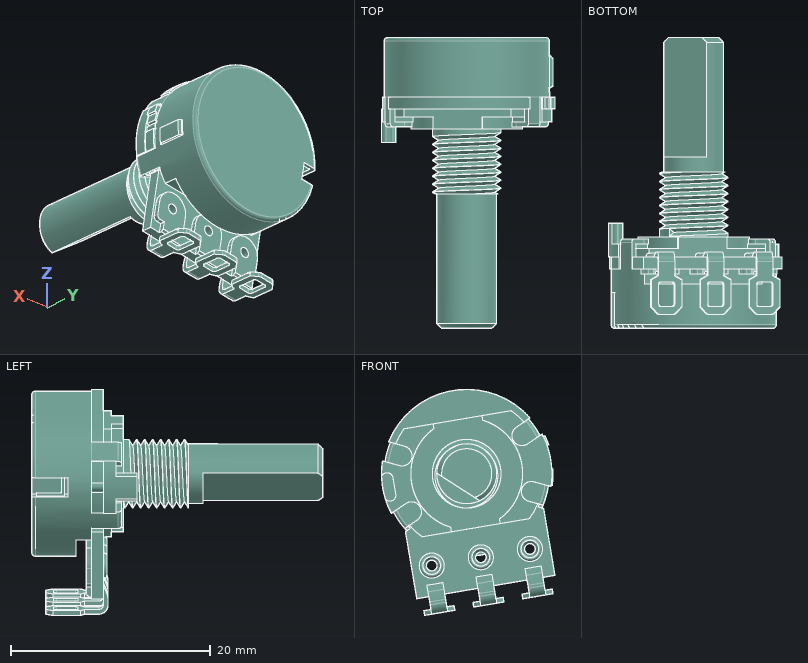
import cadquery as cq
import math


TOTAL_LENGTH = 29.2
TILT = 9.6

CAN_RADIUS = 8.3
CAN_WALL = 0.5
CAN_EDGE_FILLET = 0.38
CAN_WINDOW_FLOOR = 4.47
CAN_WINDOW_Y = -5.75

NOTCH_WIDTH = 1.95
NOTCH_HEIGHT = 3.62
NOTCH_DEPTH = 1.75
HOLLOW_TOP = 3.3
HOLLOW_DEPTH = 2.45
CORE_TOP = 2.98
CORE_SIDE_Y = -0.85

BUMP_RADIUS = 8.67
BUMP_ANGLES = (-17.5, -6.5)
BUMP_BOTTOM = 1.9
BUMP_TOP = 5.05
BUMP_CHAMFER = 0.23

BOARD_BOTTOM = 6.0
BOARD_TOP = 7.18
BOARD_RADIUS = 8.47
BOARD_HALF_WIDTH = 7.05
BOARD_END_Y = -11.53
BOARD_TAB_GAP = 0.3
BOARD_STEP_RADIUS = 8.73
BOARD_STEP_ANGLES = (9.8, 16.3)

PEG_X = 7.85
PEG_RADIUS = 0.5

PLATE_RADIUS = 7.75
PLATE_HALF_HEIGHT = 5.5
PLATE_TOP = 8.0
EAR_RADIUS = 8.55
EAR_TOP = 8.47
BOSS_RADIUS = 5.6
BOSS_BRIDGE_HALF_WIDTH = 2.48
BOSS_TOP = 9.2

PIN_INNER_X = 7.35
PIN_LENGTH = 2.85
PIN_TOP = 10.57
PIN_FILLET = 0.58

TAB_ANGLE = 25.0
TAB_WIDTH = 2.01
TAB_TIP_RADIUS = 5.72
TAB_TOP = 9.0
TAB_BEND_FILLET = 0.35

BUSHING_RADIUS = 3.45
BUSHING_TOP = 15.7
THREAD_ROOT_RADIUS = 2.83
THREAD_CREST_LAND = 0.03
THREAD_START = 9.65
THREAD_START_ANGLE = -144.6
THREAD_TURNS = 7.6
THREAD_PITCH = (BUSHING_TOP - THREAD_START) / THREAD_TURNS

SHAFT_RADIUS = 3.0
SHAFT_CHAMFER = 0.5
FLAT_BOTTOM = 17.2
FLAT_DISTANCE = 1.58
FLAT_ANGLE = 227.7

TERMINAL_PITCH = 5.0
TERMINAL_THICKNESS = 0.5
TERMINAL_WIDTH = 1.64
EYELET_Y = -8.5
EYELET_RADIUS = 1.25
EYELET_HEIGHT = 0.38
EYELET_FILLET = 0.3
EYELET_BORE_RADIUS = 0.53
EYELET_FUNNEL_RADIUS = 0.88
EYELET_FUNNEL_DEPTH = 0.73
LUG_RADIUS = 1.78
LUG_BOTTOM = 5.45
LUG_SHOULDER_Y = -10.45
LUG_FILLET = 0.4

HOOK_START_Y = -10.37
HOOK_RAMP_END_Y = -11.05
HOOK_RAMP_HEIGHT = 0.3
HOOK_FULL_Y = -12.05
HOOK_BOTTOM_Y = -13.32
HOOK_BEND_RADIUS = 0.95
LEG_ROOT = 5.3
LEG_SHOULDER = 4.9
LEG_TIP = 1.4
LEG_WIDTH = 3.1
LEG_TIP_SHOULDER = 2.15
LEG_TIP_WIDTH = 1.7
LEG_TIP_FILLET = 0.45
LEG_WINDOW_BOTTOM = 2.2
LEG_WINDOW_TOP = 4.67
LEG_WINDOW_FILLET = 0.3


def cylinder(radius, bottom, top):
    return cq.Workplane("XY", origin=(0, 0, bottom)).circle(radius).extrude(top - bottom)


def block(x_range, y_range, z_range):
    (x0, x1), (y0, y1), (z0, z1) = x_range, y_range, z_range
    return cq.Workplane("XY").box(x1 - x0, y1 - y0, z1 - z0, centered=False).translate((x0, y0, z0))


def sector(start_angle, end_angle):
    """Tall wedge from the shaft axis outward between two angles, in degrees."""
    reach = 3 * CAN_RADIUS
    corners = [
        (reach * math.cos(math.radians(angle)), reach * math.sin(math.radians(angle)))
        for angle in (start_angle, end_angle)
    ]
    return cq.Workplane("XY").polyline([(0, 0)] + corners).close().extrude(TOTAL_LENGTH)


def four_tabs(shape):
    """Copies of a shape lying along +X, at the four tab directions."""
    angles = (TAB_ANGLE, 180 - TAB_ANGLE, 180 + TAB_ANGLE, -TAB_ANGLE)
    return [shape.rotate((0, 0, 0), (0, 0, 1), angle) for angle in angles]


def make_can():
    can = cylinder(CAN_RADIUS, 0, BOARD_BOTTOM).faces("<Z").edges().fillet(CAN_EDGE_FILLET)
    reach = 2 * CAN_RADIUS
    can = can.cut(block((-reach, reach), (-reach, CAN_WINDOW_Y), (CAN_WINDOW_FLOOR, BOARD_BOTTOM)))

    notch_floor_x = NOTCH_DEPTH - CAN_RADIUS
    hollow_floor_x = HOLLOW_DEPTH - CAN_RADIUS
    hollow = cylinder(CAN_RADIUS - CAN_WALL, CAN_WALL, HOLLOW_TOP)
    hollow = hollow.intersect(block((-reach, hollow_floor_x), (-reach, reach), (0, HOLLOW_TOP)))
    hollow = hollow.cut(block((notch_floor_x, 0), (CORE_SIDE_Y, reach), (0, CORE_TOP)))
    notch = block((-reach, notch_floor_x), (-NOTCH_WIDTH / 2, NOTCH_WIDTH / 2), (0, NOTCH_HEIGHT))
    can = can.cut(hollow).cut(notch)

    bump = cylinder(BUMP_RADIUS, BUMP_BOTTOM, BUMP_TOP).edges().chamfer(BUMP_CHAMFER)
    return can.union(bump.intersect(sector(*BUMP_ANGLES)))


def make_board():
    board = cylinder(BOARD_RADIUS, BOARD_BOTTOM, BOARD_TOP)
    lower_part_y = -math.sqrt(BOARD_RADIUS**2 - BOARD_HALF_WIDTH**2)
    lower_part = block(
        (-BOARD_HALF_WIDTH, BOARD_HALF_WIDTH), (BOARD_END_Y, lower_part_y), (BOARD_BOTTOM, BOARD_TOP)
    )
    step = cylinder(BOARD_STEP_RADIUS, BOARD_BOTTOM, BOARD_TOP).intersect(sector(*BOARD_STEP_ANGLES))
    board = board.union(lower_part).union(step)
    gap = block(
        (CAN_RADIUS - CAN_WALL, 2 * CAN_RADIUS),
        (-TAB_WIDTH / 2 - BOARD_TAB_GAP, 0),
        (BOARD_BOTTOM, BOARD_TOP),
    ).rotate((0, 0, 0), (0, 0, 1), -TAB_ANGLE)
    board = board.cut(gap).cut(gap.mirror("YZ"))
    for direction in (0, 180):
        notch = block((PEG_X, 2 * PEG_X), (-PEG_RADIUS, PEG_RADIUS), (BOARD_BOTTOM, BOARD_TOP))
        peg = cylinder(PEG_RADIUS, BOARD_BOTTOM, BOARD_TOP).translate((PEG_X, 0, 0))
        board = board.cut(notch.cut(peg).rotate((0, 0, 0), (0, 0, 1), direction))
    return board


def make_plate():
    reach = 2 * EAR_RADIUS
    height_band = block((-reach, reach), (-PLATE_HALF_HEIGHT, PLATE_HALF_HEIGHT), (0, BOSS_TOP))
    plate = cylinder(PLATE_RADIUS, BOARD_TOP, PLATE_TOP)
    bridge = block(
        (-BOSS_BRIDGE_HALF_WIDTH, BOSS_BRIDGE_HALF_WIDTH),
        (-PLATE_HALF_HEIGHT, PLATE_HALF_HEIGHT),
        (BOARD_TOP, BOSS_TOP),
    )
    boss = cylinder(BOSS_RADIUS, BOARD_TOP, BOSS_TOP)
    plate = plate.union(boss).intersect(height_band).union(bridge)

    ears = cylinder(EAR_RADIUS, BOARD_TOP, EAR_TOP)
    for direction in (0, 180):
        plate = plate.union(ears.intersect(sector(direction - TAB_ANGLE, direction + TAB_ANGLE)))

    pin = block((-EAR_RADIUS, -PIN_INNER_X), (-PIN_LENGTH / 2, PIN_LENGTH / 2), (BOARD_TOP, PIN_TOP))
    pin = pin.edges("|Z").fillet(PIN_FILLET)
    return plate.union(pin.intersect(cylinder(EAR_RADIUS, BOARD_TOP, PIN_TOP)))


def cut_tab_slots(body):
    slot = block(
        (CAN_RADIUS - CAN_WALL, 2 * CAN_RADIUS), (-TAB_WIDTH / 2, TAB_WIDTH / 2), (BOARD_BOTTOM, TAB_TOP)
    )
    for tab_slot in four_tabs(slot):
        body = body.cut(tab_slot)
    return body


def make_tab():
    """Strip of the can wall that runs up past the board and folds inward over the plate."""
    nose_x = TAB_TIP_RADIUS + TAB_WIDTH / 2
    strip = block((nose_x, 2 * CAN_RADIUS), (-TAB_WIDTH / 2, TAB_WIDTH / 2), (BOARD_BOTTOM, TAB_TOP))
    strip = strip.union(cylinder(TAB_WIDTH / 2, BOARD_BOTTOM, TAB_TOP).translate((nose_x, 0, 0)))
    skin = cylinder(CAN_RADIUS, BOARD_BOTTOM, TAB_TOP).faces(">Z").edges().fillet(TAB_BEND_FILLET)
    skin = skin.cut(cylinder(CAN_RADIUS - CAN_WALL, BOARD_BOTTOM, EAR_TOP))
    return skin.intersect(strip)


def make_bushing():
    bushing = cylinder(BUSHING_RADIUS, BOSS_TOP, BUSHING_TOP)
    thread_length = BUSHING_TOP - THREAD_START + THREAD_PITCH
    path = cq.Wire.makeHelix(THREAD_PITCH, thread_length, THREAD_ROOT_RADIUS)
    half_angle_slope = (THREAD_PITCH - THREAD_CREST_LAND) / 2 / (BUSHING_RADIUS - THREAD_ROOT_RADIUS)
    overshoot = THREAD_CREST_LAND / 4
    outer_radius = BUSHING_RADIUS + overshoot
    half_mouth = half_angle_slope * (outer_radius - THREAD_ROOT_RADIUS)
    groove = (
        cq.Workplane("XZ")
        .polyline([(THREAD_ROOT_RADIUS, 0), (outer_radius, half_mouth), (outer_radius, -half_mouth)])
        .close()
        .sweep(path, isFrenet=True)
    )
    groove = groove.rotate((0, 0, 0), (0, 0, 1), THREAD_START_ANGLE).translate((0, 0, THREAD_START))
    return bushing.cut(groove)


def make_shaft():
    shaft = cylinder(SHAFT_RADIUS, BUSHING_TOP, TOTAL_LENGTH).faces(">Z").edges().chamfer(SHAFT_CHAMFER)
    reach = 2 * SHAFT_RADIUS
    flat = block((FLAT_DISTANCE, reach), (-reach, reach), (FLAT_BOTTOM, TOTAL_LENGTH))
    return shaft.cut(flat.rotate((0, 0, 0), (0, 0, 1), FLAT_ANGLE))


def make_hook():
    """Side outline of the strip, drawn with (y, height), extruded across its width."""
    front = BOARD_TOP + TERMINAL_THICKNESS
    inner_radius = HOOK_BEND_RADIUS - TERMINAL_THICKNESS
    bend_y = HOOK_BOTTOM_Y + HOOK_BEND_RADIUS
    bend_z = front - HOOK_BEND_RADIUS
    top_y = HOOK_BOTTOM_Y + TERMINAL_THICKNESS
    diagonal = math.sqrt(0.5)
    return (
        cq.Workplane("YZ", origin=(-TERMINAL_WIDTH / 2, 0, 0))
        .moveTo(HOOK_BOTTOM_Y, LEG_ROOT)
        .lineTo(HOOK_BOTTOM_Y, bend_z)
        .threePointArc(
            (bend_y - HOOK_BEND_RADIUS * diagonal, bend_z + HOOK_BEND_RADIUS * diagonal),
            (bend_y, front),
        )
        .lineTo(HOOK_FULL_Y, front)
        .tangentArcPoint((HOOK_RAMP_END_Y, BOARD_TOP + HOOK_RAMP_HEIGHT), relative=False)
        .lineTo(HOOK_START_Y, BOARD_TOP)
        .lineTo(bend_y, BOARD_TOP)
        .threePointArc(
            (bend_y - inner_radius * diagonal, bend_z + inner_radius * diagonal),
            (top_y, bend_z),
        )
        .lineTo(top_y, LEG_ROOT)
        .close()
        .extrude(TERMINAL_WIDTH)
    )


def make_leg():
    """Wide solder loop at the end of the hook."""
    half_root = TERMINAL_WIDTH / 2
    half_width = LEG_WIDTH / 2
    half_tip = LEG_TIP_WIDTH / 2
    top_y = HOOK_BOTTOM_Y + TERMINAL_THICKNESS
    leg = (
        cq.Workplane("XZ", origin=(0, top_y, 0))
        .polyline([
            (-half_root, LEG_ROOT), (half_root, LEG_ROOT),
            (half_width, LEG_SHOULDER), (half_width, LEG_TIP_SHOULDER),
            (half_tip, LEG_TIP), (-half_tip, LEG_TIP),
            (-half_width, LEG_TIP_SHOULDER), (-half_width, LEG_SHOULDER),
        ])
        .close()
        .extrude(TERMINAL_THICKNESS)
        .faces("<Z").edges("|Y").fillet(LEG_TIP_FILLET)
    )
    window = block((-half_root, half_root), (HOOK_BOTTOM_Y, top_y), (LEG_WINDOW_BOTTOM, LEG_WINDOW_TOP))
    return leg.cut(window.edges("|Y").fillet(LEG_WINDOW_FILLET))


def make_terminal():
    lug = block((-LUG_RADIUS, LUG_RADIUS), (LUG_SHOULDER_Y, EYELET_Y), (LUG_BOTTOM, BOARD_BOTTOM))
    lug = lug.edges("|Z and <Y").fillet(LUG_FILLET)
    lug = lug.union(cylinder(LUG_RADIUS, LUG_BOTTOM, BOARD_BOTTOM).translate((0, EYELET_Y, 0)))
    tail = block(
        (-TERMINAL_WIDTH / 2, TERMINAL_WIDTH / 2), (BOARD_END_Y, EYELET_Y), (LUG_BOTTOM, BOARD_BOTTOM)
    )
    tail = tail.edges("<Y and <Z").chamfer(TERMINAL_THICKNESS / 2)
    eyelet = cylinder(EYELET_RADIUS, BOARD_TOP, BOARD_TOP + EYELET_HEIGHT)
    eyelet = eyelet.faces(">Z").edges().fillet(EYELET_FILLET).translate((0, EYELET_Y, 0))
    return lug.union(tail).union(eyelet).union(make_hook()).union(make_leg())


def make_eyelet_bore():
    top = BOARD_TOP + EYELET_HEIGHT
    return (
        cq.Workplane("XZ")
        .polyline([
            (0, LUG_BOTTOM), (EYELET_BORE_RADIUS, LUG_BOTTOM),
            (EYELET_BORE_RADIUS, top - EYELET_FUNNEL_DEPTH), (EYELET_FUNNEL_RADIUS, top), (0, top),
        ])
        .close()
        .revolve(360, (0, 0, 0), (0, 1, 0))
        .translate((0, EYELET_Y, 0))
    )


body = cut_tab_slots(make_board().union(make_plate()))
body = body.union(make_can())
for tab in four_tabs(make_tab()):
    body = body.union(tab)

for column in (-1, 0, 1):
    offset = (column * TERMINAL_PITCH, 0, 0)
    body = body.union(make_terminal().translate(offset))
    body = body.cut(make_eyelet_bore().translate(offset))

body = body.union(make_bushing()).union(make_shaft())

result = body.rotate((0, 0, 0), (0, 0, 1), TILT).rotate((0, 0, 0), (1, 0, 0), 90)